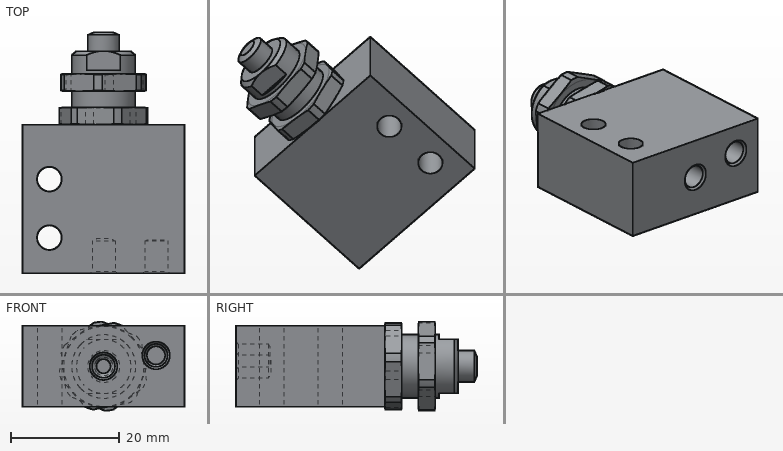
import cadquery as cq
import math

BLOCK_WIDTH = 30.0
BLOCK_LENGTH = 27.5
BLOCK_HEIGHT = 15.0

MOUNT_DIAMETER = 4.5
MOUNT_SIDE_INSET = 5.0
MOUNT_REAR_INSET = 10.08
MOUNT_SPACING = 10.8

PORT_MOUTH_DIAMETER = 5.1
PORT_DIAMETER = 4.25
PORT_DEPTH = 6.0
CENTRE_PORT_X = 0.0
CENTRE_PORT_Z = 0.0
CENTRE_PORT_SEAT_DIAMETER = 2.6
SIDE_PORT_X = 9.7
SIDE_PORT_Z = 2.0
SIDE_PORT_SEAT_DIAMETER = 3.36
DRILL_HALF_ANGLE = math.radians(60)

NECK_DIAMETER = 11.8
NECK_LENGTH = 13.58
NECK_CHAMFER_RADIAL = 0.88
NECK_CHAMFER_AXIAL = 0.73
FLATS_WIDTH = 10.0
FLATS_LENGTH = 3.5

NUT_ACROSS_FLATS = 15.0
NUT_CORNER_DIAMETER = 16.5
NUT_THICKNESS = 3.2
NUT_CHAMFER_RADIAL = 0.85
NUT_CHAMFER_AXIAL = 0.13
LOCK_NUT_START = 0.0
LOCK_NUT_ANGLE = -11.3
PANEL_NUT_START = 6.18
PANEL_NUT_ANGLE = 22.9

BUTTON_DIAMETER = 5.9
BUTTON_TIP = 17.1
BUTTON_CHAMFER_RADIAL = 1.25
BUTTON_CHAMFER_AXIAL = 0.55


def turned(profile):
    """Revolve a (radius, Y) profile around the Y axis."""
    return profile.close().revolve(360, (0, 0, 0), (0, 1, 0))


def make_block():
    block = cq.Workplane("XY").box(BLOCK_WIDTH, BLOCK_LENGTH, BLOCK_HEIGHT)
    return block.translate((0, -BLOCK_LENGTH / 2, 0))


def make_mounting_holes():
    x = MOUNT_SIDE_INSET - BLOCK_WIDTH / 2
    centres = [(x, -MOUNT_REAR_INSET - i * MOUNT_SPACING) for i in range(2)]
    holes = cq.Workplane("XY").pushPoints(centres).circle(MOUNT_DIAMETER / 2)
    return holes.extrude(BLOCK_HEIGHT / 2, both=True)


def make_port(x, z, seat_diameter):
    """Blind port with a 45 degree mouth and a conical bottom ending in a flat seat."""
    mouth_radius = PORT_MOUTH_DIAMETER / 2
    radius = PORT_DIAMETER / 2
    seat_radius = seat_diameter / 2
    mouth_depth = mouth_radius - radius
    cone_depth = (radius - seat_radius) / math.tan(DRILL_HALF_ANGLE)
    profile = (
        cq.Workplane("XY")
        .lineTo(mouth_radius, 0)
        .lineTo(radius, mouth_depth)
        .lineTo(radius, PORT_DEPTH)
        .lineTo(seat_radius, PORT_DEPTH + cone_depth)
        .lineTo(0, PORT_DEPTH + cone_depth)
    )
    return turned(profile).translate((x, -BLOCK_LENGTH, z))


def make_neck():
    radius = NECK_DIAMETER / 2
    profile = (
        cq.Workplane("XY")
        .lineTo(radius, 0)
        .lineTo(radius, NECK_LENGTH - NECK_CHAMFER_AXIAL)
        .lineTo(radius - NECK_CHAMFER_RADIAL, NECK_LENGTH)
        .lineTo(0, NECK_LENGTH)
    )
    neck = turned(profile)
    for side in (1, -1):
        cutter = cq.Workplane("XY").box(NECK_DIAMETER, FLATS_LENGTH, NECK_DIAMETER)
        cutter_z = side * (FLATS_WIDTH + NECK_DIAMETER) / 2
        neck = neck.cut(cutter.translate((0, NECK_LENGTH - FLATS_LENGTH / 2, cutter_z)))
    return neck


def make_nut(start, angle):
    """Solid hexagonal nut with turned corners, rotated by an angle about the Y axis."""
    corner_to_corner = NUT_ACROSS_FLATS / math.cos(math.radians(30))
    hexagon = cq.Workplane("XZ").polygon(6, corner_to_corner).extrude(-NUT_THICKNESS)
    radius = NUT_CORNER_DIAMETER / 2
    face_radius = radius - NUT_CHAMFER_RADIAL
    profile = (
        cq.Workplane("XY")
        .lineTo(face_radius, 0)
        .lineTo(radius, NUT_CHAMFER_AXIAL)
        .lineTo(radius, NUT_THICKNESS - NUT_CHAMFER_AXIAL)
        .lineTo(face_radius, NUT_THICKNESS)
        .lineTo(0, NUT_THICKNESS)
    )
    nut = hexagon.intersect(turned(profile))
    return nut.rotate((0, 0, 0), (0, 1, 0), angle).translate((0, start, 0))


def make_housing():
    """Block, neck and nuts as one solid."""
    housing = make_block().cut(make_mounting_holes())
    housing = housing.cut(make_port(CENTRE_PORT_X, CENTRE_PORT_Z, CENTRE_PORT_SEAT_DIAMETER))
    housing = housing.cut(make_port(SIDE_PORT_X, SIDE_PORT_Z, SIDE_PORT_SEAT_DIAMETER))
    housing = housing.union(make_neck())
    housing = housing.union(make_nut(LOCK_NUT_START, LOCK_NUT_ANGLE))
    return housing.union(make_nut(PANEL_NUT_START, PANEL_NUT_ANGLE))


def make_button():
    """Push button with a chamfered tip, standing on the end of the neck."""
    radius = BUTTON_DIAMETER / 2
    profile = (
        cq.Workplane("XY")
        .moveTo(0, NECK_LENGTH)
        .lineTo(radius, NECK_LENGTH)
        .lineTo(radius, BUTTON_TIP - BUTTON_CHAMFER_AXIAL)
        .lineTo(radius - BUTTON_CHAMFER_RADIAL, BUTTON_TIP)
        .lineTo(0, BUTTON_TIP)
    )
    return turned(profile)


housing = make_housing()
button = make_button()

result = cq.Compound.makeCompound([housing.val(), button.val()])